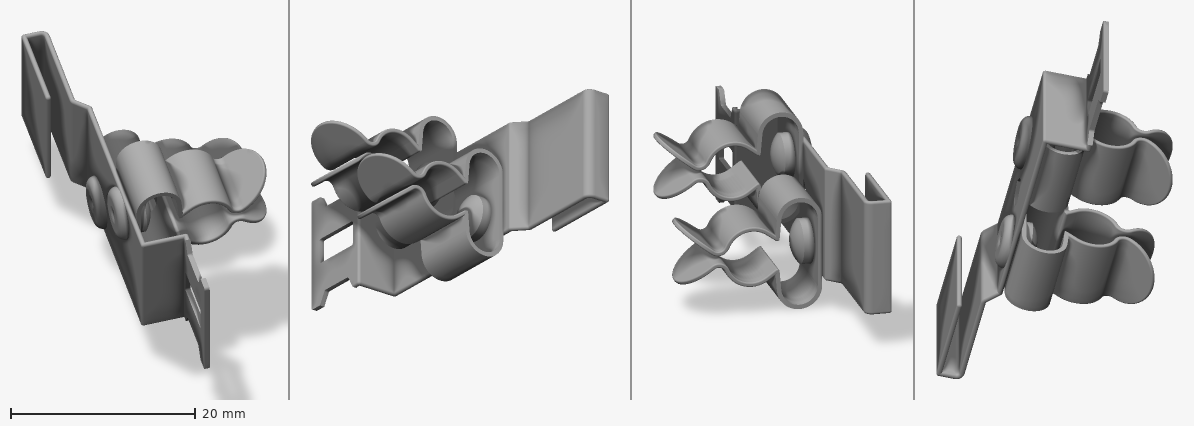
import cadquery as cq
import math

LENGTH = 41.75
HEIGHT = 13.0
SHEET = 0.6
HOOK_FRONT = -3.9
HOOK_REAR = -1.45
HOOK_END = 9.95
JOG_START = 11.05
WALL_X = 33.75
TAB_BACK = 5.4
EDGE_ROUND = 0.285
SHARP_BEND = 0.3
HOOK_BEND = 0.9
JOG_BEND = 0.85

TAB_START = 34.25
NOTCH_DEPTH = 1.5
NOTCH_END = 40.15
NOTCH_ANGLE = 30.0
NOTCH_ROUND = 0.3
WINDOW_LENGTH = 6.0
WINDOW_HEIGHT = 2.9
WINDOW_ROUND = 0.2
TAB_CORNER = 0.3

HOLE_X = 21.6
HOLE_RADIUS = 1.55
HOLE_TIP = 2.05

CLIP_PITCH_X = 8.4
CLIP_OFFSET_Z = 3.5
CLIP_WIDTH = 8.0
STRIP = 0.5
LOOP_DEPTH = 5.1
LOOP_HALF_HEIGHT = 6.4
LEG_TILT = 5.0
GRIP_Y = 8.45
GRIP_RADIUS = 3.0
GRIP_RISE = 0.15
GRIP_BACK_ANGLE = 35.5
NECK = 0.65
LIP_BEND = 1.05
LIP_ANGLE = 36.5
ARM_EDGE_ROUND = 0.15
LIP_TIP_Y = HOOK_FRONT + 20.12

SHANK_RADIUS = 1.5
HEAD_RADIUS = 2.95
HEAD_HEIGHT = 0.95
DIMPLE_RADIUS = 1.0
TAIL_RADIUS = 2.5
TAIL_RIM = 1.13
TAIL_DOME = 0.95

CLIP_PLACES = [
    (HOLE_X - CLIP_PITCH_X / 2, -CLIP_OFFSET_Z),
    (HOLE_X + CLIP_PITCH_X / 2, CLIP_OFFSET_Z),
]


def bent_strip():
    """Hook, jog, web and wall up to the start of the tab, with rounded long edges."""
    miter = SHEET * math.tan(math.radians(45 / 2))
    jog_end = JOG_START - HOOK_REAR
    outline = [
        (HOOK_END, HOOK_FRONT),
        (0, HOOK_FRONT),
        (0, HOOK_REAR + SHEET),
        (JOG_START - miter, HOOK_REAR + SHEET),
        (jog_end - miter, SHEET),
        (WALL_X - SHEET, SHEET),
        (WALL_X - SHEET, TAB_BACK),
        (TAB_START, TAB_BACK),
        (TAB_START, TAB_BACK - SHEET),
        (WALL_X, TAB_BACK - SHEET),
        (WALL_X, 0),
        (jog_end, 0),
        (JOG_START, HOOK_REAR),
        (SHEET, HOOK_REAR),
        (SHEET, HOOK_FRONT + SHEET),
        (HOOK_END, HOOK_FRONT + SHEET),
    ]
    strip = cq.Workplane("XY").polyline(outline).close().extrude(HEIGHT / 2, both=True)

    bends = [
        (HOOK_END, HOOK_FRONT, EDGE_ROUND),
        (HOOK_END, HOOK_FRONT + SHEET, EDGE_ROUND),
        (0, HOOK_FRONT, SHARP_BEND),
        (0, HOOK_REAR + SHEET, HOOK_BEND),
        (SHEET, HOOK_REAR, HOOK_BEND - SHEET),
        (JOG_START, HOOK_REAR, JOG_BEND),
        (JOG_START - miter, HOOK_REAR + SHEET, JOG_BEND - SHEET),
        (jog_end - miter, SHEET, SHARP_BEND),
        (WALL_X, 0, SHARP_BEND),
        (WALL_X - SHEET, TAB_BACK, SHARP_BEND),
    ]
    for x, y, radius in bends:
        strip = strip.edges(cq.selectors.NearestToPointSelector((x, y, 0))).fillet(radius)

    long_edges = strip.faces("<Z or >Z").edges().filter(lambda e: e.Center().x < TAB_START - 0.005)
    return strip.newObject(long_edges.vals()).fillet(EDGE_ROUND)


def tab():
    """Flat tab with a notch in each long edge and a rectangular window."""
    def plate(length, height):
        return (
            cq.Workplane("XZ", origin=(TAB_START, TAB_BACK, 0))
            .rect(length, height)
            .extrude(SHEET)
            .translate((length / 2, 0, 0))
        )

    blank = plate(LENGTH - TAB_START, HEIGHT).edges("|Y and >X").fillet(TAB_CORNER)
    flank = NOTCH_DEPTH * math.tan(math.radians(NOTCH_ANGLE))
    floor = HEIGHT / 2 - NOTCH_DEPTH
    notch = (
        cq.Workplane("XZ", origin=(0, TAB_BACK, 0))
        .polyline([
            (TAB_START, HEIGHT / 2),
            (TAB_START + flank, floor),
            (NOTCH_END - flank, floor),
            (NOTCH_END, HEIGHT / 2),
        ])
        .close()
        .extrude(SHEET)
        .edges("|Y and <Z")
        .fillet(NOTCH_ROUND)
    )
    window = plate(WINDOW_LENGTH, WINDOW_HEIGHT).edges("|Y").fillet(WINDOW_ROUND)
    return blank.cut(notch).cut(notch.mirror("XY")).cut(window)


def pointed_hole():
    """Round hole drawn out to a point above and below along tangent lines."""
    tangent = math.acos(HOLE_RADIUS / HOLE_TIP)
    x = HOLE_RADIUS * math.sin(tangent)
    z = HOLE_RADIUS * math.cos(tangent)
    return (
        cq.Workplane("XZ", origin=(HOLE_X, SHEET, 0))
        .moveTo(0, HOLE_TIP)
        .lineTo(x, z)
        .threePointArc((HOLE_RADIUS, 0), (x, -z))
        .lineTo(0, -HOLE_TIP)
        .lineTo(-x, -z)
        .threePointArc((-HOLE_RADIUS, 0), (-x, z))
        .close()
        .extrude(SHEET)
    )


def shank_hole(x, z, front, depth):
    return (
        cq.Workplane("XZ", origin=(x, front + depth, z))
        .circle(SHANK_RADIUS)
        .extrude(depth)
    )


def make_bracket():
    bracket = bent_strip().union(tab()).cut(pointed_hole())
    for x, z in CLIP_PLACES:
        bracket = bracket.cut(shank_hole(x, z, 0, SHEET))
    return bracket


def polar(center, radius, degrees):
    """Point around `center` in the YZ plane; 0 degrees is +Y and 90 degrees is +Z."""
    angle = math.radians(degrees)
    return (center[0] + radius * math.cos(angle), center[1] + radius * math.sin(angle))


def arc(outline, center, radius, start, end):
    """Carry the outline around `center` from its current point at angle `start` to `end`."""
    middle = (start + end) / 2
    return outline.threePointArc(polar(center, radius, middle), polar(center, radius, end))


def line_and_arc(outline, center, radius, start, end):
    """Run straight to the arc's start angle, then around `center` to its end angle."""
    return arc(outline.lineTo(*polar(center, radius, start)), center, radius, start, end)


def fold_point(leg_start, run_start):
    """Mid-strip point where the tilted leg meets the straight run off the grip arc."""
    leg_lean = math.tan(math.radians(LEG_TILT))
    run_slope = math.tan(math.radians(GRIP_BACK_ANGLE))
    rise = leg_start[1] - run_start[1] - run_slope * (leg_start[0] - run_start[0])
    drop = rise / (1 + run_slope * leg_lean)
    return (leg_start[0] + leg_lean * drop, leg_start[1] - drop)


def lip_corners(start, length):
    """Material beyond the lip's fully rounded end, to be cut away."""
    half_width = CLIP_WIDTH / 2
    arc_y = length - half_width
    return (
        cq.Workplane("XY")
        .moveTo(-half_width, arc_y)
        .threePointArc((0, length), (half_width, arc_y))
        .lineTo(CLIP_WIDTH, arc_y)
        .lineTo(CLIP_WIDTH, length + CLIP_WIDTH)
        .lineTo(-CLIP_WIDTH, length + CLIP_WIDTH)
        .lineTo(-CLIP_WIDTH, arc_y)
        .close()
        .extrude(STRIP, both=True)
        .rotate((0, 0, 0), (1, 0, 0), LIP_ANGLE)
        .translate((0, start[0], start[1]))
    )


def clip_arm():
    """Upper half of a clip, from the middle of its base to the tip of its lip."""
    half = STRIP / 2
    loop = (SHEET + LOOP_DEPTH / 2, LOOP_HALF_HEIGHT - LOOP_DEPTH / 2)
    loop_radius = (LOOP_DEPTH - STRIP) / 2
    grip = (GRIP_Y, GRIP_RISE)
    grip_end = 90 + GRIP_BACK_ANGLE
    bend_reach = GRIP_RADIUS + LIP_BEND
    bend_angle = math.degrees(math.asin((NECK + LIP_BEND - GRIP_RISE) / bend_reach))
    bend = polar(grip, bend_reach, bend_angle)
    bend_start = 180 + bend_angle
    bend_end = 270 + LIP_ANGLE

    fold = fold_point(polar(loop, loop_radius, LEG_TILT), polar(grip, GRIP_RADIUS, grip_end))
    leg_angle = 90 + LEG_TILT
    bisector = (leg_angle + GRIP_BACK_ANGLE) / 2
    crease = half / math.sin(math.radians(leg_angle - bisector))

    slope = math.radians(LIP_ANGLE)
    corner_y = LIP_TIP_Y + ARM_EDGE_ROUND * (math.cos(slope) + math.sin(slope) - 1)
    lip_start = polar(bend, LIP_BEND, bend_end)
    lip_length = (corner_y - half * math.sin(slope) - lip_start[0]) / math.cos(slope)
    lip_end = polar(lip_start, lip_length, LIP_ANGLE)

    loop_strip = cq.Workplane("YZ").moveTo(SHEET, 0)
    loop_strip = line_and_arc(loop_strip, loop, loop_radius + half, 180, LEG_TILT)
    loop_strip = loop_strip.lineTo(*polar(fold, crease, bisector))
    loop_strip = line_and_arc(loop_strip, fold, half, bisector + 180, leg_angle + 90)
    loop_strip = line_and_arc(loop_strip, loop, loop_radius - half, LEG_TILT, 180)
    loop_strip = loop_strip.lineTo(SHEET + STRIP, 0).close().extrude(CLIP_WIDTH / 2, both=True)

    grip_strip = cq.Workplane("YZ").moveTo(*polar(fold, crease, bisector))
    grip_strip = line_and_arc(grip_strip, grip, GRIP_RADIUS + half, grip_end, bend_angle)
    grip_strip = arc(grip_strip, bend, LIP_BEND - half, bend_start, bend_end)
    grip_strip = grip_strip.lineTo(*polar(lip_end, half, LIP_ANGLE + 90))
    grip_strip = grip_strip.lineTo(*polar(lip_end, half, LIP_ANGLE - 90))
    grip_strip = line_and_arc(grip_strip, bend, LIP_BEND + half, bend_end, bend_start)
    grip_strip = arc(grip_strip, grip, GRIP_RADIUS - half, bend_angle, grip_end)
    grip_strip = line_and_arc(grip_strip, fold, half, GRIP_BACK_ANGLE + 270, bisector + 180)
    grip_strip = grip_strip.close().extrude(CLIP_WIDTH / 2, both=True)
    grip_strip = grip_strip.cut(lip_corners(lip_start, lip_length))

    miter = crease + half
    long_edges = grip_strip.edges("not |X").filter(lambda e: e.Length() > 1.01 * miter)
    grip_strip = grip_strip.newObject(long_edges.vals()).fillet(ARM_EDGE_ROUND)
    return loop_strip.union(grip_strip)


def make_clip(arm, x, z):
    clip = arm.union(arm.mirror("XY")).translate((x, 0, z))
    return clip.cut(shank_hole(x, z, SHEET, STRIP))


def make_rivet(x, z):
    """Rivet turned about the Y axis: dimpled front head, shank and domed tail."""
    clamped = SHEET + STRIP
    rim_end = clamped + TAIL_RIM
    diagonal = math.sin(math.radians(45))
    dome_radius = (TAIL_RADIUS**2 + TAIL_DOME**2) / (2 * TAIL_DOME)
    dome_center = rim_end + TAIL_DOME - dome_radius
    half_angle = math.asin(TAIL_RADIUS / dome_radius) / 2
    dome_middle = (
        dome_radius * math.sin(half_angle),
        dome_center + dome_radius * math.cos(half_angle),
    )
    flat_radius = HEAD_RADIUS - HEAD_HEIGHT
    return (
        cq.Workplane("XY")
        .moveTo(0, DIMPLE_RADIUS - HEAD_HEIGHT)
        .threePointArc(
            (DIMPLE_RADIUS * (1 - diagonal), DIMPLE_RADIUS * (1 - diagonal) - HEAD_HEIGHT),
            (DIMPLE_RADIUS, -HEAD_HEIGHT),
        )
        .lineTo(flat_radius, -HEAD_HEIGHT)
        .threePointArc((flat_radius + HEAD_HEIGHT * diagonal, -HEAD_HEIGHT * diagonal), (HEAD_RADIUS, 0))
        .lineTo(SHANK_RADIUS, 0)
        .lineTo(SHANK_RADIUS, clamped)
        .lineTo(TAIL_RADIUS, clamped)
        .lineTo(TAIL_RADIUS, rim_end)
        .threePointArc(dome_middle, (0, rim_end + TAIL_DOME))
        .close()
        .revolve(360, (0, 0, 0), (0, 1, 0))
        .translate((x, 0, z))
    )


bracket = make_bracket()
arm = clip_arm()
clips = [make_clip(arm, x, z) for x, z in CLIP_PLACES]
rivets = [make_rivet(x, z) for x, z in CLIP_PLACES]

bodies = [bracket] + clips + rivets
result = cq.Compound.makeCompound([body.val() for body in bodies])